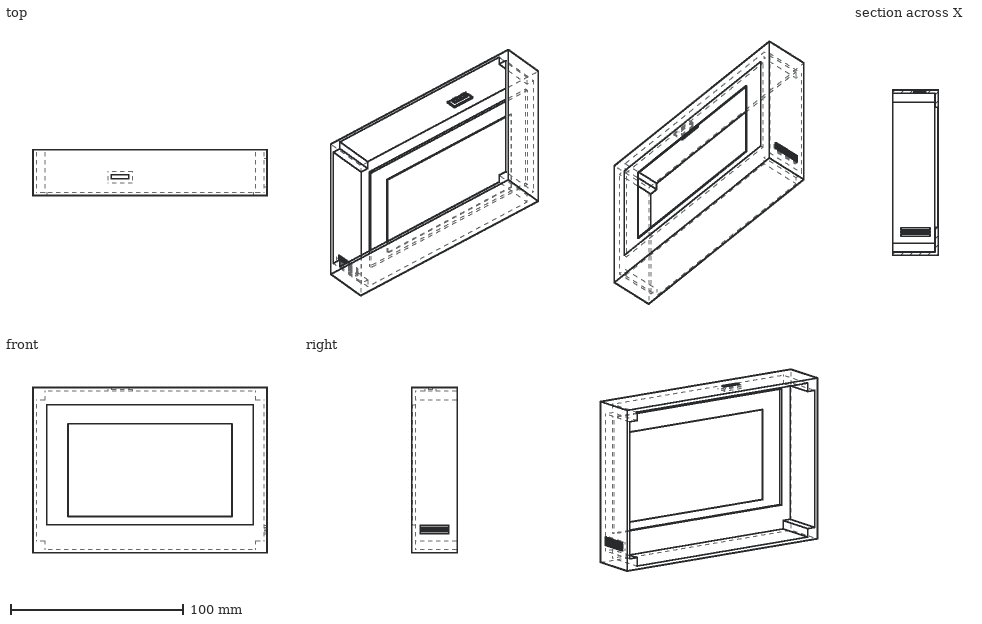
import cadquery as cq

WIDTH = 136.0
DEPTH = 26.7
HEIGHT = 96.0
WALL = 2.0
FRONT_THICKNESS = 2.0

WINDOW_WIDTH = 94.9
WINDOW_HEIGHT = 53.7

LIP_THICKNESS = 0.53
RECESS_WIDTH = 119.7
RECESS_HEIGHT = 69.4
RECESS_CENTER_Z = 3.1

POST_SIDE = 5.0

SLOT_LENGTH = 10.0
SLOT_WIDTH = 2.5
SLOT_X = -17.4
SLOT_FROM_FRONT = 10.9
THINNED_WALL = 1.0
THINNED_MARGIN = 2.0

VENT_COUNT = 3
VENT_LENGTH = 16.6
VENT_HEIGHT = 1.1
VENT_PITCH = 1.9
LOWEST_VENT_FROM_BOTTOM = 11.7

FRONT_Y = -DEPTH / 2
TOP_Z = HEIGHT / 2
INNER_WIDTH = WIDTH - 2 * WALL
INNER_HEIGHT = HEIGHT - 2 * WALL
INNER_DEPTH = DEPTH - FRONT_THICKNESS


def block(size, center):
    """Box of the given X, Y, Z size around a centre point."""
    return cq.Workplane("XY").box(*size).translate(center)


def make_shell():
    """Box hollowed from the back, leaving the front panel and four side walls."""
    outside = block((WIDTH, DEPTH, HEIGHT), (0, 0, 0))
    cavity = block((INNER_WIDTH, INNER_DEPTH, INNER_HEIGHT), (0, FRONT_THICKNESS / 2, 0))
    return outside.cut(cavity)


def make_corner_posts():
    """Posts running from the front panel to the open back, one in each inner corner."""
    return (
        cq.Workplane("XZ", origin=(0, DEPTH / 2, 0))
        .rect(INNER_WIDTH - POST_SIDE, INNER_HEIGHT - POST_SIDE, forConstruction=True)
        .vertices()
        .rect(POST_SIDE, POST_SIDE)
        .extrude(INNER_DEPTH)
    )


def make_window():
    """Cutter for the centred window and the display recess behind it."""
    window = block(
        (WINDOW_WIDTH, FRONT_THICKNESS, WINDOW_HEIGHT),
        (0, FRONT_Y + FRONT_THICKNESS / 2, 0),
    )
    recess_depth = FRONT_THICKNESS - LIP_THICKNESS
    recess = block(
        (RECESS_WIDTH, recess_depth, RECESS_HEIGHT),
        (0, FRONT_Y + LIP_THICKNESS + recess_depth / 2, RECESS_CENTER_Z),
    )
    return window.union(recess)


def make_cable_slot():
    """Cutter for the slot in the top wall and the wider pocket below it."""
    slot_y = FRONT_Y + SLOT_FROM_FRONT
    slot = block((SLOT_LENGTH, SLOT_WIDTH, WALL), (SLOT_X, slot_y, TOP_Z - WALL / 2))
    pocket = block(
        (SLOT_LENGTH + 2 * THINNED_MARGIN, SLOT_WIDTH + 2 * THINNED_MARGIN, WALL - THINNED_WALL),
        (SLOT_X, slot_y, TOP_Z - (WALL + THINNED_WALL) / 2),
    )
    return slot.union(pocket)


def make_vent(index):
    """Cutter for one vent through the +X wall, counted upward from the lowest."""
    vent_z = -HEIGHT / 2 + LOWEST_VENT_FROM_BOTTOM + index * VENT_PITCH
    return block((WALL, VENT_LENGTH, VENT_HEIGHT), ((WIDTH - WALL) / 2, 0, vent_z))


result = make_shell().union(make_corner_posts()).cut(make_window()).cut(make_cable_slot())
for vent_index in range(VENT_COUNT):
    result = result.cut(make_vent(vent_index))